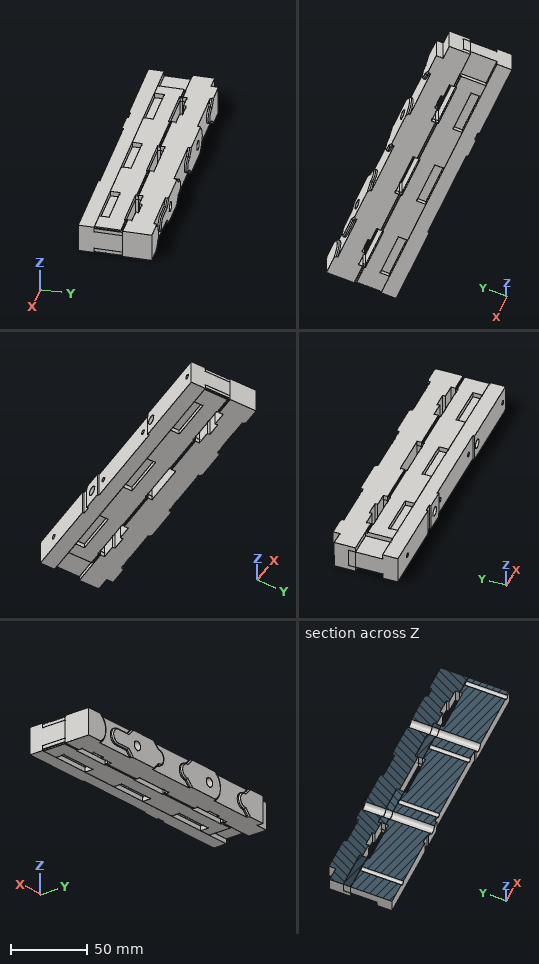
import cadquery as cq
LENGTH = 191.0
WIDTH = 50.0
HEIGHT = 20.0
MID_Z = HEIGHT / 2

SHOULDER_Y = 10.9
RAIL_FACE_Y = 30.0
KEY_BACK_Y = 35.0
TONGUE_THICKNESS = 13.0
COVER_THICKNESS = (HEIGHT - TONGUE_THICKNESS) / 2

COVER_START_X = 18.0
COVER_REBATE_WIDTH = 1.1
COVER_END_REBATE = 1.0
COVER_REBATE_DEPTH = 1.0
REBATE_FACE_Y = RAIL_FACE_Y - COVER_REBATE_WIDTH
COVER_POCKET_BACK_Y = 17.5

WINDOW_LENGTH = 30.0
WINDOW_PITCH = 2 * WINDOW_LENGTH
FIRST_WINDOW_X = 42.0
WINDOW_CENTERS = [FIRST_WINDOW_X + i * WINDOW_PITCH for i in range(3)]
WINDOW_FRONT_Y = 28.0
WINDOW_BACK_Y = 33.0
NOTCH_LENGTH = 10.0
NOTCH_CENTERS = [WINDOW_CENTERS[0], WINDOW_CENTERS[-1]]

KEY_ENDS = [x - WINDOW_LENGTH / 2 for x in WINDOW_CENTERS]
KEY_STARTS = [0.0] + [end + WINDOW_LENGTH for end in KEY_ENDS[:-1]]
KEY_SPANS = list(zip(KEY_STARTS, KEY_ENDS))

FRONT_RELIEFS = [(53.5, 58.8), (72.5, 136.0)]
FRONT_RELIEF_DEPTH = 1.1
THROUGH_HOLE_DIAMETER = 6.5
THROUGH_HOLE_XS = [65.5, 140.4]
SCREW_HOLE_DIAMETER = 3.0
SCREW_HOLE_XS = [17.0, 78.0, 128.0, 185.8]

CORNER_CUT_LENGTH = 10.0
CORNER_CUT_DEPTH = 5.0
RECESS_DEPTH = 2.1
RECESS_CHAMFER = 1.0
STUB_RADIUS = 5.0 + RECESS_CHAMFER
STUB_FLARE = MID_Z - STUB_RADIUS
BOW_BULGE = 5.0

NO_NECK = 0.0
LONG_NECK = 10.3
RECESSES = [
    (34.2, NO_NECK, 53.1, "bow"),
    (94.4, NO_NECK, 112.0, "stub"),
    (166.0, LONG_NECK, 172.0, "bow"),
]


def block(x0, x1, y0, y1, z0=0.0, z1=HEIGHT):
    """Box given by its limits on each axis."""
    return cq.Workplane("XY").box(x1 - x0, y1 - y0, z1 - z0, centered=False).translate((x0, y0, z0))


def centered_slot(center_x, length, y0, y1):
    """Full-height box centred on a place along X."""
    return block(center_x - length / 2, center_x + length / 2, y0, y1)


def drills(xs, diameter):
    """Round cutters along Y, through the whole width at mid height."""
    places = [(x, MID_Z) for x in xs]
    return cq.Workplane("XZ").pushPoints(places).circle(diameter / 2).extrude(-WIDTH)


def windows():
    """Cutters for the three windows and the notches behind two of them."""
    cutters = cq.Workplane("XY")
    for x in WINDOW_CENTERS:
        cutters = cutters.add(centered_slot(x, WINDOW_LENGTH, WINDOW_FRONT_Y, WINDOW_BACK_Y))
    for x in NOTCH_CENTERS:
        cutters = cutters.add(centered_slot(x, NOTCH_LENGTH, WINDOW_FRONT_Y, KEY_BACK_Y))
    return cutters.combine()


def key_block(x0, x1):
    """One key, set into the front face of the rear rail at the height of the tongue."""
    return block(x0, x1, RAIL_FACE_Y, KEY_BACK_Y, COVER_THICKNESS, HEIGHT - COVER_THICKNESS)


def make_front_rail():
    """Front rail with the tongue that reaches back to the rear rail."""
    rail = block(0, LENGTH, 0, SHOULDER_Y)
    tongue = block(0, LENGTH, SHOULDER_Y, RAIL_FACE_Y, COVER_THICKNESS, HEIGHT - COVER_THICKNESS)
    rail = rail.union(tongue).cut(windows())
    for x0, x1 in FRONT_RELIEFS:
        rail = rail.cut(block(x0, x1, 0, FRONT_RELIEF_DEPTH))
    rail = rail.cut(drills(THROUGH_HOLE_XS, THROUGH_HOLE_DIAMETER))
    return rail.cut(drills(SCREW_HOLE_XS, SCREW_HOLE_DIAMETER))


def recess_side(outline, tip_x, outward, kind, neck, upward):
    """Draw one end of a recess, around the pad end whose tip is at tip_x.

    outward is the X direction from the recess into the pad; a stub is a round-ended bar
    with a straight neck that flares at 45 degrees into the pad, a bow is one arc.
    """
    z_end = HEIGHT if upward else 0.0
    sign = 1 if upward else -1
    if kind == "bow":
        return outline.threePointArc((tip_x, MID_Z), (tip_x + outward * BOW_BULGE, z_end))
    center_x = tip_x + outward * STUB_RADIUS
    root_x = center_x + outward * neck
    outline = outline.lineTo(root_x, MID_Z - sign * STUB_RADIUS)
    if neck:
        outline = outline.lineTo(center_x, MID_Z - sign * STUB_RADIUS)
    outline = outline.threePointArc((tip_x, MID_Z), (center_x, MID_Z + sign * STUB_RADIUS))
    if neck:
        outline = outline.lineTo(root_x, MID_Z + sign * STUB_RADIUS)
    return outline.lineTo(root_x + outward * STUB_FLARE, z_end)


def cut_recess(rail, left_tip, left_neck, right_tip, right_kind):
    """Cut one recess into the back face and chamfer its rim."""
    left_end = left_tip - STUB_RADIUS - left_neck - STUB_FLARE
    right_reach = BOW_BULGE if right_kind == "bow" else STUB_RADIUS + NO_NECK + STUB_FLARE
    right_end = right_tip + right_reach
    outline = cq.Workplane("XZ", origin=(0, WIDTH, 0)).moveTo(left_end, HEIGHT)
    outline = recess_side(outline, left_tip, -1, "stub", left_neck, upward=False)
    outline = outline.lineTo(right_end, 0)
    outline = recess_side(outline, right_tip, 1, right_kind, NO_NECK, upward=True)
    rail = rail.cut(outline.close().extrude(RECESS_DEPTH))
    margin = 0.2
    rim = cq.selectors.BoxSelector(
        (left_end - margin, WIDTH - margin, -margin), (right_end + margin, WIDTH + margin, HEIGHT + margin)
    )
    return rail.edges(rim).chamfer(RECESS_CHAMFER)


def make_rear_rail():
    """Rear rail with the key seats, window pockets and padded back face."""
    rail = block(0, LENGTH, RAIL_FACE_Y, WIDTH)
    rail = rail.cut(block(0, CORNER_CUT_LENGTH, WIDTH - CORNER_CUT_DEPTH, WIDTH))
    for recess in RECESSES:
        rail = cut_recess(rail, *recess)
    for key_span in KEY_SPANS:
        rail = rail.cut(key_block(*key_span))
    rail = rail.cut(windows())
    return rail.cut(drills(THROUGH_HOLE_XS, THROUGH_HOLE_DIAMETER))


def make_key(x0, x1):
    """Key between the tongue and the rear rail, bored where a through hole meets it."""
    return key_block(x0, x1).cut(drills(THROUGH_HOLE_XS, THROUGH_HOLE_DIAMETER))


def make_top_cover():
    """Plate over the tongue, rebated along its rear and right edges, with front pockets."""
    cover = block(COVER_START_X, LENGTH, SHOULDER_Y, RAIL_FACE_Y, HEIGHT - COVER_THICKNESS)
    rebate_z = HEIGHT - COVER_REBATE_DEPTH
    cover = cover.cut(block(COVER_START_X, LENGTH, REBATE_FACE_Y, RAIL_FACE_Y, rebate_z))
    cover = cover.cut(block(LENGTH - COVER_END_REBATE, LENGTH, SHOULDER_Y, RAIL_FACE_Y, rebate_z))
    for x in WINDOW_CENTERS:
        cover = cover.cut(centered_slot(x, WINDOW_LENGTH, SHOULDER_Y, COVER_POCKET_BACK_Y))
    return cover.cut(windows())


front_rail = make_front_rail()
rear_rail = make_rear_rail()
keys = [make_key(*key_span) for key_span in KEY_SPANS]
covers = [make_top_cover()]
covers.append(covers[0].mirror("XY", (0, 0, MID_Z)))

result = cq.Compound.makeCompound(
    [front_rail.val(), rear_rail.val(), *[key.val() for key in keys], *[cover.val() for cover in covers]]
)